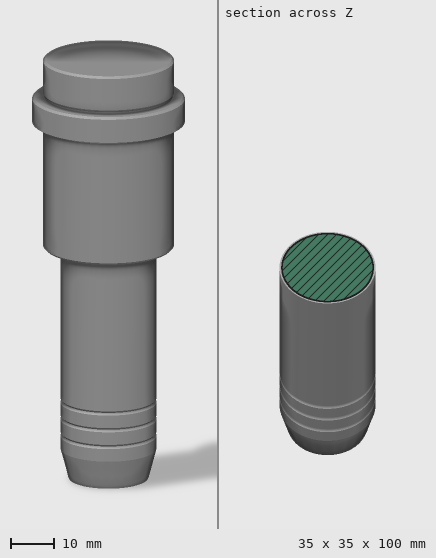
import cadquery as cq

total_height = 100.0
collar_top = 91.0
collar_bottom = 85.0
body_bottom = 55.0
taper_top = 7.0

collar_radius = 17.5
body_radius = 15.0
shank_radius = 11.0
tip_radius = 9.3
tip_face_radius = 9.1

edge_break = 0.5
relief_depth = 0.3
relief_width = 1.0
relief_floor_width = 0.5
shank_neck_radius = 10.5
shank_neck_height = 0.8

ring_count = 3
ring_pitch = 4.0
lowest_ring_height = 10.5
ring_width = 1.0
ring_depth = 0.5


def cylinder(radius, bottom, top):
    """Upright cylinder between two heights."""
    return cq.Workplane("XY").workplane(offset=bottom).circle(radius).extrude(top - bottom)


def revolve_profile(points):
    """Solid of revolution about Z from (radius, height) points."""
    return cq.Workplane("XZ").polyline(points).close().revolve(360, (0, 0, 0), (0, 1, 0))


def relief_groove(radius, wall_height, direction):
    """Groove beside a shoulder: straight floor, then a slope back out to the surface.

    direction is +1 when the groove runs up from the shoulder, -1 when it runs down.
    """
    floor_radius = radius - relief_depth
    floor_end = wall_height + direction * relief_floor_width
    groove_end = wall_height + direction * relief_width
    return revolve_profile(
        [(floor_radius, wall_height), (radius, wall_height), (radius, groove_end), (floor_radius, floor_end)]
    )


def v_ring(height):
    """Symmetric V groove around the shank."""
    half_width = ring_width / 2
    return revolve_profile(
        [
            (shank_radius - ring_depth, height),
            (shank_radius, height - half_width),
            (shank_radius, height + half_width),
        ]
    )


shank = revolve_profile(
    [
        (0, 0),
        (tip_face_radius, 0),
        (tip_radius, edge_break),
        (shank_radius, taper_top),
        (shank_radius, body_bottom - shank_neck_height),
        (shank_neck_radius, body_bottom - shank_neck_height),
        (shank_neck_radius, body_bottom),
        (0, body_bottom),
    ]
)
for ring_index in range(ring_count):
    shank = shank.cut(v_ring(lowest_ring_height + ring_index * ring_pitch))

body = cylinder(body_radius, body_bottom, total_height).edges().chamfer(edge_break)
body = body.cut(relief_groove(body_radius, collar_top, 1))
body = body.cut(relief_groove(body_radius, collar_bottom, -1))

collar = cylinder(collar_radius, collar_bottom, collar_top).edges(">Z").chamfer(edge_break)

result = shank.union(body).union(collar)